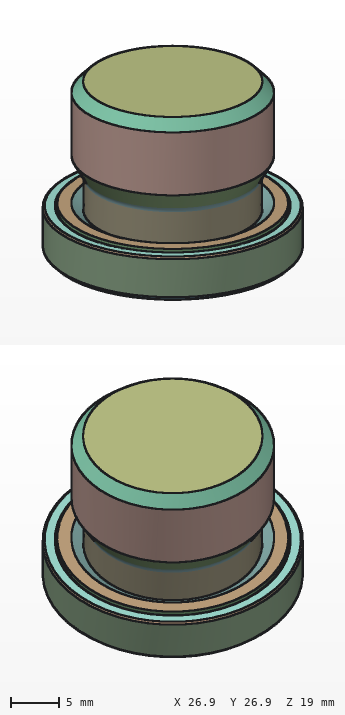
import cadquery as cq
import math

total_height = 19.0
base_height = 5.0
ring_top = 5.3

base_radius = 26.9 / 2
base_bottom_chamfer = 0.5
base_top_chamfer = 0.22

neck_radius = 18.4 / 2
head_radius = 20.95 / 2
head_chamfer = 1.2
head_cone_bottom = 8.72
head_cone_angle = math.radians(30)
neck_blend_radius = 1.0

clearance = 0.05
groove_floor = 3.0
groove_radius = 24.0 / 2
groove_mouth_chamfer = 0.2
ring_outer_radius = groove_radius - clearance
ring_inner_radius = neck_radius + clearance
ring_mouth_radius = head_radius
ring_mouth_angle = math.radians(30)


def make_knob():
    """Base disc, neck and head turned as one piece, with a groove around the neck."""
    blend_center_radius = neck_radius + neck_blend_radius
    blend_bottom = head_cone_bottom - neck_blend_radius * math.sin(head_cone_angle)
    blend_middle_angle = head_cone_angle / 2
    blend_middle = (
        blend_center_radius - neck_blend_radius * math.cos(blend_middle_angle),
        blend_bottom + neck_blend_radius * math.sin(blend_middle_angle),
    )
    cone_bottom_radius = blend_center_radius - neck_blend_radius * math.cos(head_cone_angle)
    cone_height = (head_radius - cone_bottom_radius) / math.tan(head_cone_angle)

    profile = (
        cq.Workplane("XZ")
        .moveTo(0, 0)
        .lineTo(base_radius - base_bottom_chamfer, 0)
        .lineTo(base_radius, base_bottom_chamfer)
        .lineTo(base_radius, base_height - base_top_chamfer)
        .lineTo(base_radius - base_top_chamfer, base_height)
        .lineTo(groove_radius + groove_mouth_chamfer, base_height)
        .lineTo(groove_radius, base_height - groove_mouth_chamfer)
        .lineTo(groove_radius, groove_floor)
        .lineTo(neck_radius, groove_floor)
        .lineTo(neck_radius, blend_bottom)
        .threePointArc(blend_middle, (cone_bottom_radius, head_cone_bottom))
        .lineTo(head_radius, head_cone_bottom + cone_height)
        .lineTo(head_radius, total_height - head_chamfer)
        .lineTo(head_radius - head_chamfer, total_height)
        .lineTo(0, total_height)
        .close()
    )
    return profile.revolve(360, (0, 0), (0, 1))


def make_ring():
    """Ring resting on the groove floor, with a conical mouth around the neck."""
    mouth_depth = (ring_mouth_radius - ring_inner_radius) * math.tan(ring_mouth_angle)
    profile = (
        cq.Workplane("XZ")
        .moveTo(ring_inner_radius, groove_floor)
        .lineTo(ring_outer_radius, groove_floor)
        .lineTo(ring_outer_radius, ring_top)
        .lineTo(ring_mouth_radius, ring_top)
        .lineTo(ring_inner_radius, ring_top - mouth_depth)
        .close()
    )
    return profile.revolve(360, (0, 0), (0, 1))


knob = make_knob()
ring = make_ring()

result = cq.Compound.makeCompound([knob.val(), ring.val()])